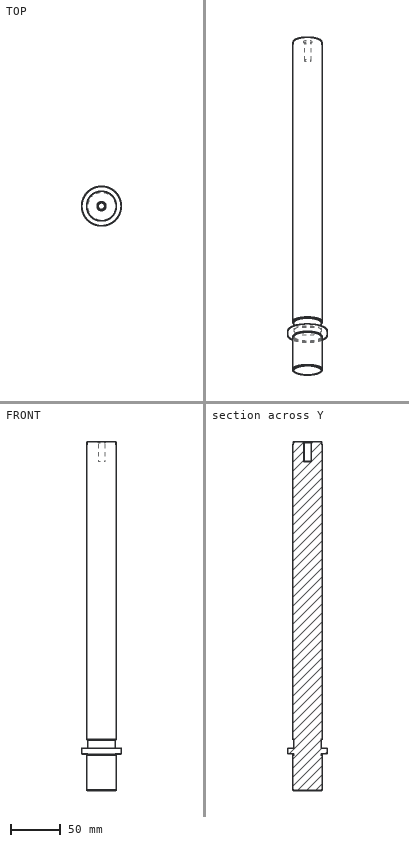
import cadquery as cq

total_length = 352.0
spigot_length = 37.0
collar_thickness = 6.0
neck_length = 8.0
relief_length = 1.0
lead_in_length = 4.0

shaft_diameter = 30.0
neck_diameter = 28.0
collar_diameter = 40.0
lead_in_diameter = 29.0
hole_diameter = 6.8
hole_mouth_diameter = 9.0

foot_chamfer = 1.0
relief_chamfer = 0.5
shoulder_chamfer = 1.0
collar_fillet = 1.0
top_fillet = 1.0
hole_depth = 20.0

shaft_radius = shaft_diameter / 2
neck_radius = neck_diameter / 2
collar_radius = collar_diameter / 2
lead_in_radius = lead_in_diameter / 2
hole_radius = hole_diameter / 2
hole_mouth_radius = hole_mouth_diameter / 2
relief_bottom = spigot_length - relief_length
collar_top = spigot_length + collar_thickness
shaft_bottom = collar_top + neck_length


def revolve_about_axis(profile):
    """Turn a closed (radius, height) profile around the Z axis."""
    return cq.Workplane("XZ").polyline(profile).close().revolve(360, (0, 0), (0, 1))


def make_pillar():
    """Spigot, relief groove, neck and guide shaft turned as one body."""
    body = revolve_about_axis([
        (0, 0),
        (shaft_radius - foot_chamfer, 0),
        (shaft_radius, foot_chamfer),
        (shaft_radius, relief_bottom - relief_chamfer),
        (neck_radius, relief_bottom),
        (neck_radius, shaft_bottom),
        (shaft_radius, shaft_bottom + shoulder_chamfer),
        (shaft_radius, total_length - lead_in_length),
        (lead_in_radius, total_length),
        (0, total_length),
    ])
    return body.faces(">Z").edges().fillet(top_fillet)


def make_collar():
    """Stop collar with both rims rounded."""
    base = cq.Workplane("XY", origin=(0, 0, spigot_length))
    collar = base.circle(collar_radius).extrude(collar_thickness)
    return collar.edges("%CIRCLE").fillet(collar_fillet)


def make_top_hole():
    """Blind hole on the axis at the top end, with a 45 degree countersunk mouth."""
    countersink_depth = hole_mouth_radius - hole_radius
    return revolve_about_axis([
        (0, total_length - hole_depth),
        (hole_radius, total_length - hole_depth),
        (hole_radius, total_length - countersink_depth),
        (hole_mouth_radius, total_length),
        (0, total_length),
    ])


result = make_pillar().union(make_collar()).cut(make_top_hole())